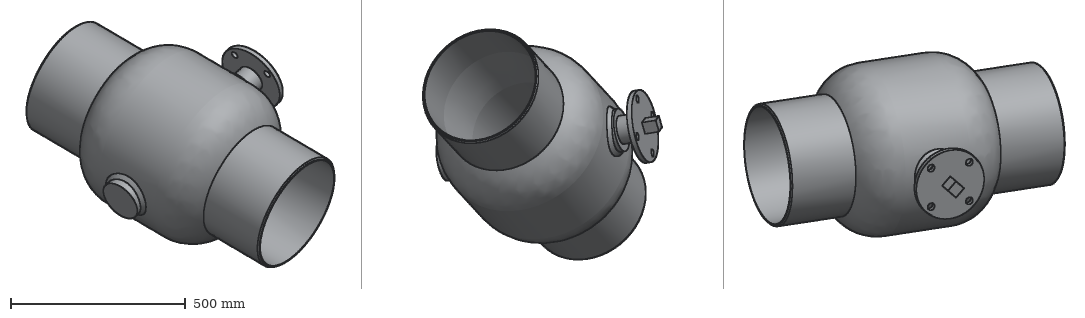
import cadquery as cq

length = 850.0
pipe_diameter = 355.0
pipe_bore = 340.0
pipe_bore_depth = 150.0
end_chamfer = 4.0
throat_diameter = 300.0
throat_half_length = 101.0
body_diameter = 502.0
barrel_half_length = 101.0
dome_half_length = 224.0

boss_diameter = 124.0
cap_face_y = -277.0
neck_face_y = 268.0
weld_leg = 11.0

stem_diameter = 82.5
flange_diameter = 210.0
flange_thickness = 15.0
flange_face_y = 340.0
hole_diameter = 21.0
hole_spacing = 118.0
drive_diagonal = 50.0
drive_end_y = 382.5

half_length = length / 2
pipe_radius = pipe_diameter / 2
body_radius = body_diameter / 2


def dome_radius_at(x):
    """Outer radius of the dome, an arc tangent to the barrel and ending on the pipe."""
    run = dome_half_length - barrel_half_length
    drop = body_radius - pipe_radius
    arc_radius = (run**2 + drop**2) / (2 * drop)
    return body_radius - arc_radius + (arc_radius**2 - (x - barrel_half_length) ** 2) ** 0.5


def revolve_about_x(profile):
    return profile.close().revolve(360, (0, 0, 0), (1, 0, 0))


def make_body():
    dome_middle_x = (barrel_half_length + dome_half_length) / 2
    dome_middle_radius = dome_radius_at(dome_middle_x)
    profile = (
        cq.Workplane("XY")
        .moveTo(-half_length, 0)
        .lineTo(-half_length, pipe_radius - end_chamfer)
        .lineTo(-half_length + end_chamfer, pipe_radius)
        .lineTo(-dome_half_length, pipe_radius)
        .threePointArc((-dome_middle_x, dome_middle_radius), (-barrel_half_length, body_radius))
        .lineTo(barrel_half_length, body_radius)
        .threePointArc((dome_middle_x, dome_middle_radius), (dome_half_length, pipe_radius))
        .lineTo(half_length - end_chamfer, pipe_radius)
        .lineTo(half_length, pipe_radius - end_chamfer)
        .lineTo(half_length, 0)
    )
    return revolve_about_x(profile)


def make_bore():
    """Through bore: wide pipe ends that taper down to the throat."""
    taper_start_x = half_length - pipe_bore_depth
    profile = (
        cq.Workplane("XY")
        .moveTo(-half_length, 0)
        .lineTo(-half_length, pipe_bore / 2)
        .lineTo(-taper_start_x, pipe_bore / 2)
        .lineTo(-throat_half_length, throat_diameter / 2)
        .lineTo(throat_half_length, throat_diameter / 2)
        .lineTo(taper_start_x, pipe_bore / 2)
        .lineTo(half_length, pipe_bore / 2)
        .lineTo(half_length, 0)
    )
    return revolve_about_x(profile)


def plane_at(y):
    """Workplane facing +Y, with local X along -X and local Y along Z."""
    return cq.Workplane(cq.Plane((0, y, 0), xDir=(-1, 0, 0), normal=(0, 1, 0)))


def disc(diameter, start_y, end_y):
    return plane_at(start_y).circle(diameter / 2).extrude(end_y - start_y)


def add_welded_bosses(body):
    """Cap boss at -Y and neck boss at +Y, each with a weld around its foot."""
    body = body.union(disc(boss_diameter, cap_face_y, neck_face_y))
    foot_edges = cq.selectors.BoxSelector(
        (-boss_diameter, cap_face_y + weld_leg, -boss_diameter),
        (boss_diameter, neck_face_y - weld_leg, boss_diameter),
        boundingbox=True,
    )
    return body.edges(foot_edges).chamfer(weld_leg)


def make_flange():
    flange = disc(flange_diameter, flange_face_y - flange_thickness, flange_face_y)
    holes = (
        plane_at(flange_face_y - flange_thickness)
        .rect(hole_spacing, hole_spacing, forConstruction=True)
        .vertices()
        .circle(hole_diameter / 2)
        .extrude(flange_thickness)
    )
    return flange.cut(holes)


stem = disc(stem_diameter, neck_face_y, flange_face_y)
drive = plane_at(flange_face_y).polygon(4, drive_diagonal).extrude(drive_end_y - flange_face_y)

result = add_welded_bosses(make_body())
result = result.union(stem).union(make_flange()).union(drive).cut(make_bore())